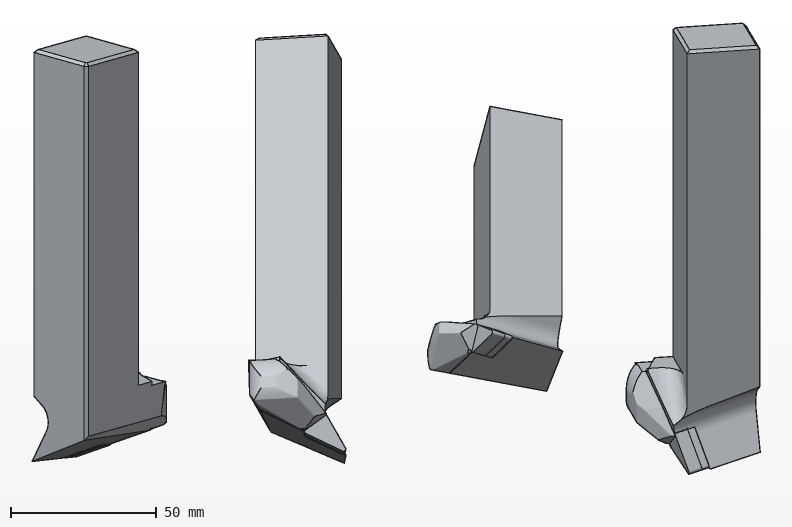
import cadquery as cq
import math

total_length = 152.4
shank_size = 25.5
edge_chamfer = 1.0
tip_x = -7.3
tip_z = -0.95
tip_y = shank_size
rake_slope_x = 0.22
rake_slope_z = 0.19
edge_lead = math.radians(28.0)

insert_angle = math.radians(35.0)
insert_edge = 16.6
insert_thickness = 4.9
shim_thickness = 2.7
nose_radius = 0.8
insert_overhang = 0.3

groove_radius = 6.7
groove_start = 14.5
groove_sweep = math.radians(86.0)
corner_start = (22.4, 14.2)
corner_end = (shank_size, 18.9)

overhang_top = 15.2
head_top = 32.2
wall_radius = 7.3
wall_start = 7.6
wall_lean = 0.9
shoulder_ridge = (15.0, 36.0)
shoulder_end_y = 31.9
clamp_top = 30.8

clamp_left = (-0.3, 12.5)
clamp_nose = (7.6, 6.7)
clamp_waist = (6.1, 20.5)
clamp_back_x = 15.8
clamp_crown_y = 42.8
clamp_crown_x = (15.0, 20.3)
clamp_brow = (7.6, 41.5)
clamp_foot_y = 31.0
clamp_brow_bow = (11.1, 42.2)
clamp_side_bow = (23.6, 40.8)
clamp_side_y = 36.1
clamp_lip = (29.5, 6.7)
clamp_chin = (31.4, 7.3)
clamp_front = (41.5, 15.1)
clamp_back_bow = (42.7, 24.0)
clamp_back_y = 38.1
clamp_fillet = 0.6
clamp_seam_height = 2.6

reach = 91.5

rake_normal = cq.Vector(-rake_slope_x, 1.0, -rake_slope_z).normalized()
edge_run = math.tan(edge_lead)
edge_direction = cq.Vector(edge_run, rake_slope_x * edge_run + rake_slope_z, 1.0).normalized()
rake_plane = cq.Plane(origin=(tip_x, tip_y, tip_z), xDir=edge_direction, normal=rake_normal)
end_edge_direction = edge_direction * math.cos(insert_angle) + rake_plane.yDir * math.sin(insert_angle)


def rake_sketch():
    """Empty sketch on the rake face with its origin at the sharp tip."""
    return cq.Workplane(rake_plane)


def sharp_plate(depth):
    """Rhombic plate from the rake face downwards."""
    run = insert_edge * math.cos(insert_angle)
    rise = insert_edge * math.sin(insert_angle)
    corners = [(0, 0), (insert_edge, 0), (insert_edge + run, rise), (run, rise)]
    return rake_sketch().polyline(corners).close().extrude(-depth)


def plate(depth):
    """The same plate with its two acute corners rounded."""
    upright_edges = cq.selectors.ParallelDirSelector(rake_normal)
    long_diagonal = edge_direction + end_edge_direction
    blank = sharp_plate(depth)
    for at_far_end in (False, True):
        acute_edge = cq.selectors.DirectionMinMaxSelector(long_diagonal, at_far_end)
        blank = blank.edges(upright_edges).edges(acute_edge).fillet(nose_radius)
    return blank


def through_rake(outline):
    """Prism square to the rake face that passes through the whole tool."""
    return outline.extrude(reach, both=True)


def flank_cutter():
    """Clears the main flank, the relief groove and its straight run-out."""
    centre_y = insert_overhang - groove_radius

    def on_groove(angle):
        x = groove_start + groove_radius * math.sin(angle)
        return (x, centre_y + groove_radius * math.cos(angle))

    end = on_groove(groove_sweep)
    far_end = (
        end[0] + reach * math.cos(groove_sweep),
        end[1] - reach * math.sin(groove_sweep),
    )
    outline = (
        rake_sketch().moveTo(-reach, insert_overhang).lineTo(groove_start, insert_overhang)
        .threePointArc(on_groove(groove_sweep / 2), end).lineTo(*far_end).lineTo(-reach, -reach).close()
    )
    return through_rake(outline)


def end_flank_cutter():
    """Clears everything beyond the end cutting edge."""
    along = (math.cos(insert_angle), math.sin(insert_angle))
    away = (-along[1], along[0])

    def at(run, offset):
        return (run * along[0] + offset * away[0], run * along[1] + offset * away[1])

    outline = [
        at(-reach, -insert_overhang),
        at(reach, -insert_overhang),
        at(reach, reach),
        at(-reach, reach),
    ]
    return through_rake(rake_sketch().polyline(outline).close())


def corner_cutter():
    """Bevel between the end flank and the +X side."""
    run = corner_end[0] - corner_start[0]
    rise = corner_end[1] - corner_start[1]
    outline = [
        (corner_start[0] - run, corner_start[1] - rise),
        (corner_end[0] + run, corner_end[1] + rise),
        (corner_end[0] + run, corner_start[1] - rise),
    ]
    return cq.Workplane("XZ").polyline(outline).close().extrude(reach, both=True)


def above_rake():
    """Half-space above the rake face."""
    return rake_sketch().rect(2 * reach, 2 * reach).extrude(reach)


def shank():
    """Square bar with a chamfered rear end and one chamfered long edge."""
    bar = cq.Workplane("XY").box(shank_size, shank_size, total_length, centered=False)
    long_edge = bar.faces(">X").edges("<Y").chamfer(edge_chamfer)
    return long_edge.faces(">Z").chamfer(edge_chamfer)


def head():
    """Raised head: the tip overhang and the shoulder behind the clamp."""
    overhang = cq.Workplane("XY").box(
        shank_size - tip_x, 2 * shank_size, overhang_top - tip_z, centered=False
    ).translate((tip_x, 0, tip_z))
    shoulder = cq.Workplane("XY").box(
        shank_size, shank_size, head_top, centered=False
    ).translate((0, shank_size, 0))
    return overhang.union(shoulder).cut(above_rake())


def wall_cutter():
    """Leaning concave wall that runs the shoulder out into the shank."""
    corner = wall_start + wall_radius
    diagonal = wall_radius * math.sqrt(0.5)
    profile = (
        cq.Workplane("XY").workplane(offset=head_top)
        .moveTo(wall_start - reach, shank_size).lineTo(wall_start, shank_size)
        .threePointArc(
            (wall_start + diagonal, shank_size + wall_radius - diagonal),
            (corner, shank_size + wall_radius),
        )
        .lineTo(corner, reach).lineTo(wall_start - reach, reach).close()
    )
    path = cq.Vector(-wall_lean * head_top, 0, -head_top)
    return cq.Workplane(cq.Solid.extrudeLinear(profile.wires().val(), [], path))


def shoulder_cutter():
    """Slope on the +X side of the shoulder, behind the clamp."""
    outline = [
        shoulder_ridge,
        (shank_size, shoulder_end_y),
        (shank_size, reach),
        (shoulder_ridge[0], reach),
    ]
    return cq.Workplane("XY").workplane(offset=clamp_top).polyline(outline).close().extrude(reach)


def clamp_plan():
    """Outline of the clamp in X and Z, carried along Y."""
    outline = [
        clamp_left, clamp_nose, corner_start, corner_end,
        (shank_size, clamp_top), (clamp_back_x, clamp_top), clamp_waist,
    ]
    return cq.Workplane("XZ").polyline(outline).close().extrude(-reach)


def clamp_cross_profile():
    """Outline of the clamp in X and Y, carried along Z."""
    outline = (
        cq.Workplane("XY").moveTo(clamp_left[0], shank_size)
        .lineTo(clamp_left[0], clamp_foot_y)
        .lineTo(*clamp_brow)
        .threePointArc(clamp_brow_bow, (clamp_crown_x[0], clamp_crown_y))
        .lineTo(clamp_crown_x[1], clamp_crown_y)
        .threePointArc(clamp_side_bow, (shank_size, clamp_side_y))
        .lineTo(shank_size, shank_size).close()
    )
    return outline.extrude(reach)


def clamp_long_profile():
    """Outline of the clamp in Y and Z, carried along X."""
    outline = (
        cq.Workplane("YZ").moveTo(shank_size, clamp_lip[1])
        .lineTo(*clamp_lip).lineTo(*clamp_chin).lineTo(*clamp_front)
        .threePointArc(clamp_back_bow, (clamp_back_y, clamp_top))
        .lineTo(shank_size, clamp_top).close()
    )
    return outline.extrude(reach, both=True)


def clamp():
    """Rounded clamp on the rake face, formed where its plan and two profiles cross."""
    block = clamp_plan().intersect(clamp_cross_profile()).intersect(clamp_long_profile())
    block = block.intersect(above_rake())
    upper_left = cq.selectors.BoxSelector(
        (clamp_left[0], clamp_foot_y + clamp_seam_height, clamp_chin[1]),
        (clamp_crown_x[1], clamp_crown_y + clamp_seam_height, clamp_top - clamp_seam_height),
    )
    return block.edges(upper_left).fillet(clamp_fillet)


def holder():
    """Shank, head, shim and clamp as one body, with the insert seat cut out."""
    body = shank().union(head().cut(wall_cutter()).cut(shoulder_cutter()))
    for cutter in (flank_cutter(), end_flank_cutter(), corner_cutter()):
        body = body.cut(cutter)
    stack = insert_thickness + shim_thickness
    shim = plate(stack).cut(sharp_plate(insert_thickness))
    return body.cut(sharp_plate(stack)).union(shim).union(clamp())


holder_body = holder()
insert_body = plate(insert_thickness)
result = cq.Compound.makeCompound([holder_body.solids().val(), insert_body.solids().val()])